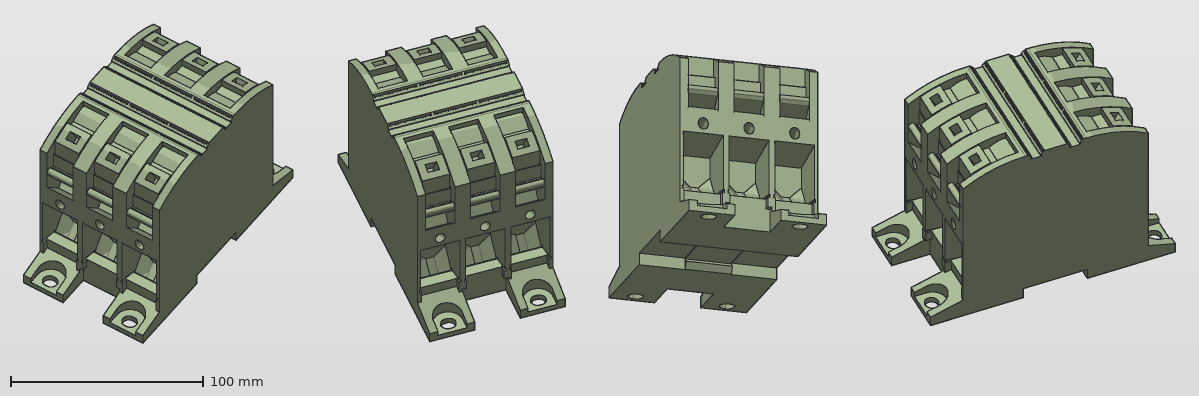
import cadquery as cq
import math


overall_length = 139.1
width = 75.0
height = 99.7
depth = 105.3
half_depth = depth / 2
pole_pitch = 24.9
pole_width = 24.9
side_height = 89.9
crown_flat = 17.2
end_pole_center = (width - pole_width) / 2
middle_width = width - 2 * pole_width
pole_centers = [-pole_pitch, 0, pole_pitch]
crown_run = half_depth - crown_flat
crown_drop = height - side_height
crown_radius = (crown_run**2 + crown_drop**2) / (2 * crown_drop)

front_foot_length = 15.3
rear_foot_length = overall_length - depth - front_foot_length
foot_tip_height = 6.0
foot_slope = 0.28
recess_floor = 3.2
recess_radius = 8.0
recess_center = 6.7
screw_slot_length = 8.2
screw_slot_width = 7.2
screw_slot_center = 6.3

rail_rear = 18.4
rail_front = -18.0
rail_depth = 6.4
middle_rail_depth = 6.0
hook_reach = 2.2
hook_tip_height = 3.9
hook_foot = 0.5

groove_center = 11.1
groove_depth = 3.2
groove_top_half = 4.7
groove_neck_half = 2.4
groove_floor_half = 3.2
neck_depth = 2.1
neck_thickness = 0.4
notch_width = 1.0
notch_depth = 1.7
notch_end_gap = 0.8

window_width = 16.3
window_sill = 63.3
window_reach = 33.2
insert_width = 15.2
insert_setback = 6.5
insert_bottom = 83.2
panel_step = 0.4
block_reach = 18.0
ramp_foot = 23.5
ramp_foot_height = 93.2
ramp_top_height = 96.5
lip_radius = 2.0
lip_center_setback = 2.1
lip_center_height = 74.0
lip_edge_height = 73.2
lip_bottom = 71.2
lip_bottom_setback = 1.4
lip_step = 1.0
cavity_setback = 14.2
cavity_end_height = 57.5
cavity_foot_setback = 10.7

tool_tilt = 30
socket_width = 6.4
socket_length = 5.3
socket_setback = 12.2
socket_depth = 11.8
test_hole_diameter = 5.4
test_hole_height = 54.8
test_hole_depth = 12.5

mouth_half = 10.8
mouth_top = 49.4
entry_setback = 16.1
entry_half = 8.6
entry_top = 42.0
funnel_setback = 9.7
funnel_bottom = 18.5
funnel_shoulder = 31.0
funnel_throat = 24.9
throat_half = 2.2
shelf_height = 18.0
shelf_slot_top = 19.5
shelf_slot_half = 11.4
panel_half = 10.5
panel_setback = 3.5
middle_rib_bottom = 12.5


def crown_height(y):
    """Height of the crowned top at a distance |y| from mid-housing."""
    run = max(abs(y) - crown_flat, 0)
    return height - crown_radius + math.sqrt(crown_radius**2 - run**2)


def across(profile, span):
    """Extrude a closed Y-Z profile symmetrically over a span in X."""
    return profile.close().extrude(span / 2, both=True)


def block(x_span, y0, y1, z0, z1):
    """Box centered on X = 0 between the given Y and Z limits."""
    return (
        cq.Workplane("XY")
        .box(x_span, y1 - y0, z1 - z0)
        .translate((0, (y0 + y1) / 2, (z0 + z1) / 2))
    )


def front(setback):
    """Y at a given distance behind the front face."""
    return setback - half_depth


def both_faces(shape):
    """A front shape joined with its mirror image on the rear."""
    return shape.union(mirror_rear(shape))


def mirror_rear(shape):
    """Mirror a front shape to the rear side."""
    return shape.mirror("XZ")


def housing():
    """Plain housing with the crowned top."""
    mid = (crown_flat + half_depth) / 2
    profile = (
        cq.Workplane("YZ")
        .moveTo(-half_depth, 0)
        .lineTo(half_depth, 0)
        .lineTo(half_depth, side_height)
        .threePointArc((mid, crown_height(mid)), (crown_flat, height))
        .lineTo(-crown_flat, height)
        .threePointArc((-mid, crown_height(mid)), (-half_depth, side_height))
    )
    return across(profile, width)


def label_groove():
    """Groove across all poles, with small notches behind its rims at each pole."""
    z_neck = height - neck_depth
    z_under = z_neck - neck_thickness
    z_floor = height - groove_depth
    right = [
        (groove_top_half, height),
        (groove_neck_half, z_neck),
        (groove_neck_half, z_under),
        (groove_floor_half, z_under),
        (groove_floor_half, z_floor),
    ]
    left = [(-y, z) for y, z in reversed(right)]
    groove = across(cq.Workplane("YZ").polyline(right + left), width)
    notch = block(
        pole_width - 2 * notch_end_gap,
        groove_top_half - notch_width,
        groove_top_half,
        height - notch_depth,
        height,
    )
    for x in pole_centers:
        groove = groove.union(both_faces(notch).translate((x, 0, 0)))
    return groove


def clamp_window():
    """Opening over the full window width, leaving the rounded lip standing."""
    inner_panel = insert_setback - panel_step
    lip_y = front(lip_center_setback)
    lip_front = lip_y - math.sqrt(lip_radius**2 - (lip_center_height - lip_edge_height) ** 2)
    upper = (
        cq.Workplane("YZ")
        .moveTo(-half_depth, height)
        .lineTo(-half_depth, lip_edge_height)
        .lineTo(lip_front, lip_edge_height)
        .threePointArc(
            (lip_y, lip_center_height + lip_radius),
            (lip_y + lip_radius, lip_center_height),
        )
        .lineTo(lip_y + lip_radius, lip_edge_height)
        .lineTo(front(inner_panel - lip_step), lip_edge_height)
        .lineTo(front(inner_panel - lip_step), lip_center_height)
        .lineTo(front(inner_panel), lip_center_height)
        .lineTo(front(inner_panel), insert_bottom)
        .lineTo(front(window_reach), insert_bottom)
        .lineTo(front(window_reach), height)
    )
    ceiling_end = lip_bottom - (cavity_setback - lip_bottom_setback)
    floor_end = window_sill - cavity_foot_setback
    lower = cq.Workplane("YZ").polyline([
        (-half_depth, lip_edge_height),
        (lip_front, lip_edge_height),
        (front(lip_bottom_setback), lip_bottom),
        (front(cavity_setback), ceiling_end),
        (front(cavity_setback), cavity_end_height),
        (front(cavity_foot_setback), floor_end),
        (-half_depth, window_sill),
    ])
    return across(upper, window_width).union(across(lower, window_width))


def clamp_insert():
    """Screw block, flat and rounded ramp, with a gap to the window sides."""
    y_face = front(insert_setback)
    y_block = front(block_reach)
    y_ramp = front(ramp_foot)
    y_end = front(window_reach)
    ramp_run = y_end - y_ramp
    ramp_rise = ramp_top_height - ramp_foot_height
    ramp_radius = (ramp_run**2 + ramp_rise**2) / (2 * ramp_rise)
    mid_drop = ramp_radius - math.sqrt(ramp_radius**2 - (ramp_run / 2) ** 2)
    y_mid = (y_face + y_block) / 2
    profile = (
        cq.Workplane("YZ")
        .moveTo(y_face, insert_bottom)
        .lineTo(y_face, crown_height(y_face))
        .threePointArc((y_mid, crown_height(y_mid)), (y_block, crown_height(y_block)))
        .lineTo(y_block, ramp_foot_height)
        .lineTo(y_ramp, ramp_foot_height)
        .threePointArc(
            (y_end - ramp_run / 2, ramp_top_height - mid_drop),
            (y_end, ramp_top_height),
        )
        .lineTo(y_end, insert_bottom)
    )
    return across(profile, insert_width)


def driver_socket():
    """Square socket sunk into the screw block along the tilted screw axis."""
    y = front(socket_setback)
    side = socket_length * math.cos(math.radians(tool_tilt))
    return (
        cq.Workplane("XY")
        .box(socket_width, side, 2 * socket_depth)
        .rotate((0, 0, 0), (1, 0, 0), tool_tilt)
        .translate((0, y, crown_height(y)))
    )


def test_hole():
    """Round hole running inward and down from the front face."""
    return (
        cq.Workplane("XZ")
        .circle(test_hole_diameter / 2)
        .extrude(test_hole_depth, both=True)
        .rotate((0, 0, 0), (1, 0, 0), -tool_tilt)
        .translate((0, -half_depth, test_hole_height))
    )


def entry_section(setback, half, top, shoulder, throat):
    """Closed outline of the wire entry at one distance behind the face."""
    right = [(half, top), (half, shoulder), (throat_half, throat)]
    outline = right + [(-x, z) for x, z in reversed(right)]
    points = [cq.Vector(x, front(setback), z) for x, z in outline]
    return cq.Wire.makePolygon(points, close=True)


def wire_entry():
    """Tapered entry that closes to a V-shaped funnel, with a shelf in front."""
    ratio = funnel_setback / entry_setback
    funnel_half = mouth_half + ratio * (entry_half - mouth_half)
    funnel_top = mouth_top + ratio * (entry_top - mouth_top)
    mouth = entry_section(0, mouth_half, mouth_top, funnel_bottom, funnel_bottom)
    funnel = entry_section(funnel_setback, funnel_half, funnel_top, funnel_bottom, funnel_bottom)
    end = entry_section(entry_setback, entry_half, entry_top, funnel_shoulder, funnel_throat)
    outer = cq.Workplane(cq.Solid.makeLoft([mouth, funnel], True))
    inner = cq.Workplane(cq.Solid.makeLoft([funnel, end], True))
    shelf = block(
        2 * shelf_slot_half, -half_depth, front(funnel_setback), shelf_height, shelf_slot_top
    )
    panel = block(2 * panel_half, -half_depth, front(panel_setback), 0, shelf_height)
    return outer.union(inner).union(shelf).union(panel)


def foot(length):
    """Sloped front foot, reaching back under the recessed panel."""
    tip = -half_depth - length
    root = front(panel_setback)
    profile = cq.Workplane("YZ").polyline([
        (tip, 0),
        (root, 0),
        (root, foot_tip_height + foot_slope * (root - tip)),
        (tip, foot_tip_height),
    ])
    return across(profile, pole_width)


def foot_cut(length):
    """Round-ended recess, open at the tip, and the screw slot of a front foot."""
    tip = -half_depth - length
    recess_y = tip + recess_center
    recess = block(2 * recess_radius, tip, recess_y, recess_floor, shelf_height)
    rounded = (
        cq.Workplane("XY", origin=(0, recess_y, recess_floor))
        .circle(recess_radius)
        .extrude(shelf_height - recess_floor)
    )
    slot = (
        cq.Workplane("XY", origin=(0, tip + screw_slot_center, 0))
        .slot2D(screw_slot_length, screw_slot_width)
        .extrude(recess_floor)
    )
    return recess.union(rounded).union(slot)


def rail_hook():
    """Pointed catch on the rear wall of the rail slot, middle pole only."""
    profile = cq.Workplane("YZ").polyline([
        (rail_rear, 0),
        (rail_rear, middle_rail_depth),
        (rail_rear - hook_reach, hook_tip_height),
        (rail_rear - hook_foot, 0),
    ])
    return across(profile, middle_width)


body = housing()

for y in (-groove_center, groove_center):
    body = body.cut(label_groove().translate((0, y, 0)))

pole_cut = clamp_window().cut(clamp_insert()).union(driver_socket())
pole_cut = pole_cut.union(test_hole()).union(wire_entry())
for x in pole_centers:
    body = body.cut(both_faces(pole_cut).translate((x, 0, 0)))

middle_relief = block(middle_width, -half_depth, front(panel_setback), 0, middle_rib_bottom)
body = body.cut(both_faces(middle_relief))

feet = foot(front_foot_length).union(mirror_rear(foot(rear_foot_length)))
foot_cuts = foot_cut(front_foot_length).union(mirror_rear(foot_cut(rear_foot_length)))
for side in (-1, 1):
    body = body.union(feet.translate((side * end_pole_center, 0, 0)))
    body = body.cut(foot_cuts.translate((side * pole_pitch, 0, 0)))

end_pole_rail = block(pole_width, rail_front, rail_rear, 0, rail_depth)
for side in (-1, 1):
    body = body.cut(end_pole_rail.translate((side * end_pole_center, 0, 0)))
middle_rail = block(middle_width, rail_front, rail_rear, 0, middle_rail_depth)
body = body.cut(middle_rail)

result = body.union(rail_hook())